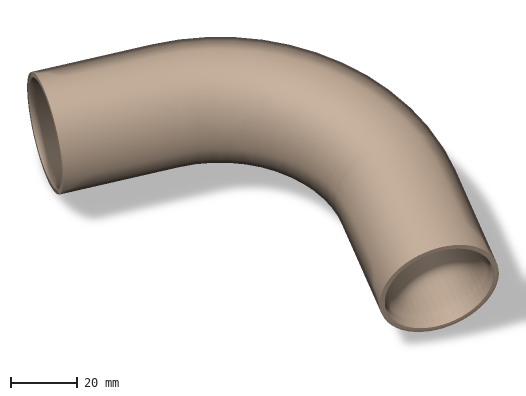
import cadquery as cq
import math

outer_diameter = 38.1
inner_diameter = 34.8
bend_radius = 57.15
bend_angle = 88.0
leg_length = outer_diameter

bend_rad = math.radians(bend_angle)
bend_center_y = leg_length
bend_end_x = bend_radius * (1 - math.cos(bend_rad))
bend_end_y = bend_center_y + bend_radius * math.sin(bend_rad)


def tube_section(plane):
    """Ring-shaped tube cross-section on a plane centered on the centerline."""
    return cq.Workplane(plane).circle(outer_diameter / 2).circle(inner_diameter / 2)


def straight_leg(start, direction):
    """Straight tube running from a centerline point along a direction."""
    return tube_section(cq.Plane(origin=start, xDir=(0, 0, 1), normal=direction)).extrude(leg_length)


def bend():
    """Curved tube turning from +Y towards +X about a vertical axis."""
    start_plane = cq.Plane(origin=(0, bend_center_y, 0), xDir=(1, 0, 0), normal=(0, -1, 0))
    return tube_section(start_plane).revolve(bend_angle, (bend_radius, 0), (bend_radius, -1))


inlet_leg = straight_leg((0, 0, 0), (0, 1, 0))
outlet_direction = (math.sin(bend_rad), math.cos(bend_rad), 0)
outlet_leg = straight_leg((bend_end_x, bend_end_y, 0), outlet_direction)

result = inlet_leg.union(bend()).union(outlet_leg)